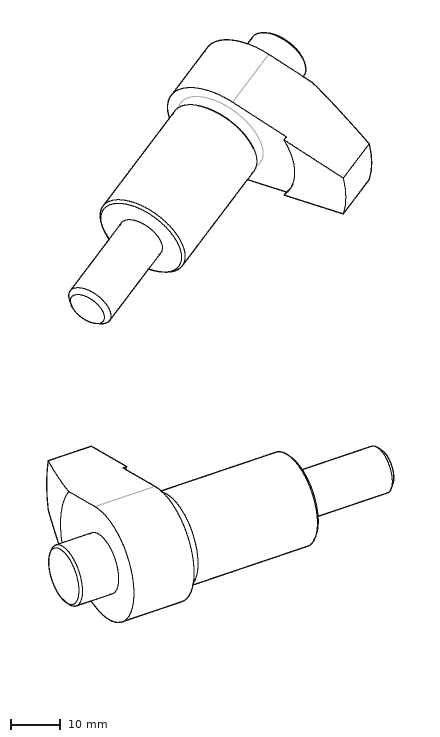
import cadquery as cq
import math

length = 75.0

front_pin_diameter = 10.0
shank_diameter = 20.0
head_diameter = 25.0
back_pin_diameter = 13.0

front_pin_length = 21.0
shank_length = 28.5
groove_width = 2.4
groove_depth = 1.0
back_pin_length = 9.0

front_pin_chamfer = 1.0
shank_chamfer = 0.5
back_pin_chamfer = 0.5

arm_reach = 30.0
arm_end_width = 12.0
pad_inner_radius = 18.0
pad_height = 0.9
slope_start_radius = 16.35
slope_drop = 4.9

shank_front = front_pin_length
shank_back = shank_front + shank_length
head_front = shank_back + groove_width
head_back = length - back_pin_length
pad_face = head_front - pad_height


def turned_body():
    """Front pin, shank, relief groove, head and back pin as one revolved profile."""
    front_pin_radius = front_pin_diameter / 2
    shank_radius = shank_diameter / 2
    head_radius = head_diameter / 2
    back_pin_radius = back_pin_diameter / 2
    groove_bottom = (shank_radius - groove_depth, (shank_back + head_front) / 2)
    return (
        cq.Workplane("XY")
        .moveTo(0, 0)
        .lineTo(front_pin_radius - front_pin_chamfer, 0)
        .lineTo(front_pin_radius, front_pin_chamfer)
        .lineTo(front_pin_radius, shank_front)
        .lineTo(shank_radius - shank_chamfer, shank_front)
        .lineTo(shank_radius, shank_front + shank_chamfer)
        .lineTo(shank_radius, shank_back)
        .threePointArc(groove_bottom, (shank_radius, head_front))
        .lineTo(head_radius, head_front)
        .lineTo(head_radius, head_back)
        .lineTo(back_pin_radius, head_back)
        .lineTo(back_pin_radius, length - back_pin_chamfer)
        .lineTo(back_pin_radius - back_pin_chamfer, length)
        .lineTo(0, length)
        .close()
        .revolve(360, (0, 0, 0), (0, 1, 0))
    )


def arm_disc():
    """Full disc with the arm's radial section: raised pad in front, cone at the back."""
    return (
        cq.Workplane("XY")
        .moveTo(0, head_front)
        .lineTo(pad_inner_radius, head_front)
        .lineTo(pad_inner_radius, pad_face)
        .lineTo(arm_reach, pad_face)
        .lineTo(arm_reach, head_back - slope_drop)
        .lineTo(slope_start_radius, head_back)
        .lineTo(0, head_back)
        .close()
        .revolve(360, (0, 0, 0), (0, 1, 0))
    )


def arm_outline():
    """Prism along Y whose tapering sides are tangent to the head."""
    head_radius = head_diameter / 2
    end_half_width = arm_end_width / 2
    corner_angle = math.asin(end_half_width / arm_reach)
    tangent_angle = corner_angle + math.acos(head_radius / arm_reach)
    tangent_x = head_radius * math.cos(tangent_angle)
    tangent_z = head_radius * math.sin(tangent_angle)
    corner_x = arm_reach * math.cos(corner_angle)
    return (
        cq.Workplane("XZ")
        .moveTo(tangent_x, tangent_z)
        .lineTo(corner_x, end_half_width)
        .threePointArc((arm_reach, 0), (corner_x, -end_half_width))
        .lineTo(tangent_x, -tangent_z)
        .threePointArc((-head_radius, 0), (tangent_x, tangent_z))
        .close()
        .extrude(-length)
    )


clamp_arm = arm_disc().intersect(arm_outline())
result = turned_body().union(clamp_arm)